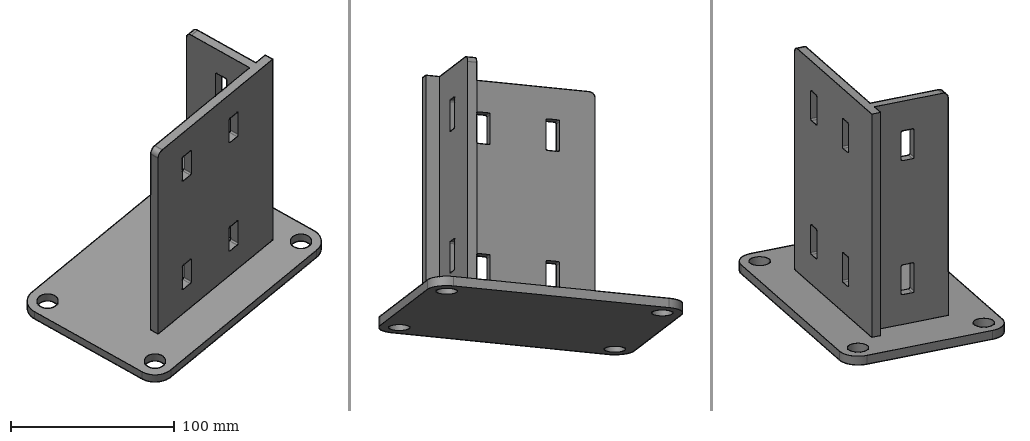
import cadquery as cq

base_length_x = 110.0
base_length_y = 165.0
plate_thickness = 6.0
base_corner_radius = 12.5
bolt_hole_diameter = 13.0
bolt_hole_inset = 12.5

upright_height = 150.0
upright_corner_radius = 4.0
wide_plate_length = 110.0
wide_plate_min_x = 22.5
wide_plate_min_y = -50.0
narrow_plate_length = 50.0
narrow_plate_min_y = 45.0

slot_width = 8.7
slot_height = 20.0
slot_corner_radius = 1.0
slot_end_distance = 30.0
slot_setback = 22.5
wide_slot_spacing = 45.0

cutter_depth = 2 * plate_thickness
top_z = plate_thickness + upright_height
slot_rows = [plate_thickness + slot_end_distance, top_z - slot_end_distance]


def base_plate():
    """Rounded rectangular base with a bolt hole near each corner."""
    plate = (
        cq.Workplane("XY")
        .box(base_length_x, base_length_y, plate_thickness, centered=(True, True, False))
        .edges("|Z")
        .fillet(base_corner_radius)
    )
    hole_spacing_x = base_length_x - 2 * bolt_hole_inset
    hole_spacing_y = base_length_y - 2 * bolt_hole_inset
    return (
        plate.faces(">Z")
        .workplane()
        .rect(hole_spacing_x, hole_spacing_y, forConstruction=True)
        .vertices()
        .hole(bolt_hole_diameter)
    )


def slot_cutter(size_x, size_y, depth_axis, x, y, z):
    """Solid for a tall rounded slot centred at (x, y, z), cutting along depth_axis."""
    return (
        cq.Workplane("XY")
        .box(size_x, size_y, slot_height)
        .edges("|" + depth_axis)
        .fillet(slot_corner_radius)
        .translate((x, y, z))
    )


def wide_plate():
    """Upright in the YZ plane, rounded at its free top corner, with four slots."""
    plate = (
        cq.Workplane("XY")
        .box(plate_thickness, wide_plate_length, upright_height, centered=False)
        .edges("|X and >Z and <Y")
        .fillet(upright_corner_radius)
        .translate((wide_plate_min_x, wide_plate_min_y, plate_thickness))
    )
    slot_x = wide_plate_min_x + plate_thickness / 2
    near_slot_y = narrow_plate_min_y - slot_setback
    for slot_y in (near_slot_y, near_slot_y - wide_slot_spacing):
        for slot_z in slot_rows:
            plate = plate.cut(slot_cutter(cutter_depth, slot_width, "X", slot_x, slot_y, slot_z))
    return plate


def narrow_plate():
    """Upright in the XZ plane meeting the wide plate, rounded at its free top corner, with two slots."""
    plate = (
        cq.Workplane("XY")
        .box(narrow_plate_length, plate_thickness, upright_height, centered=False)
        .edges("|Y and >Z and <X")
        .fillet(upright_corner_radius)
        .translate((wide_plate_min_x - narrow_plate_length, narrow_plate_min_y, plate_thickness))
    )
    slot_x = wide_plate_min_x - slot_setback
    slot_y = narrow_plate_min_y + plate_thickness / 2
    for slot_z in slot_rows:
        plate = plate.cut(slot_cutter(slot_width, cutter_depth, "Y", slot_x, slot_y, slot_z))
    return plate


result = base_plate().union(wide_plate()).union(narrow_plate())